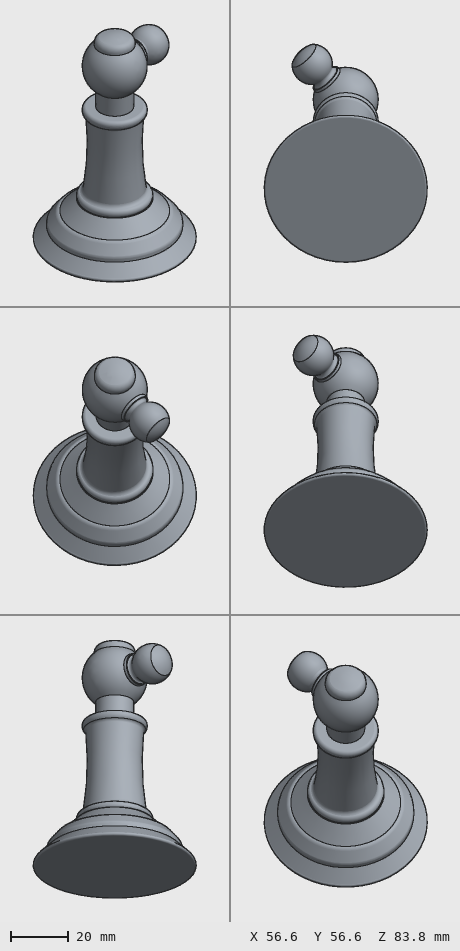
import cadquery as cq
import math

rim_top = 1.3
band_bottom = 5.5
band_middle = 6.6
band_top = 7.6
shoulder_bottom = 10.9
shoulder_top = 11.65
collar_bottom = 17.0
collar_top = 19.7
collar_middle = (collar_bottom + collar_top) / 2
column_bottom = 21.0
column_top = 50.5
column_middle = (column_bottom + column_top) / 2
lip_bottom = 51.6
lip_band_bottom = 52.95
lip_band_top = 53.2
lip_top = 54.6
ball_height = 71.1
knob_height = 71.3
cap_edge = 80.6
crown_edge = 82.9
total_height = 83.8

outer_diameter = 56.55
outer_radius = outer_diameter / 2
rim_rounding = 0.7
rim_top_radius = 27.9
band_radius = 23.6
band_top_radius = 23.3
shoulder_radius = 20.5
shoulder_top_radius = 19.0
base_top_radius = 13.3

collar_bottom_radius = 12.9
collar_radius = 13.2
collar_top_radius = 12.0
collar_cove_radius = 2.0
column_bottom_radius = 11.0
column_waist_radius = 9.6
column_top_radius = 10.05
lip_bottom_radius = 10.8
lip_radius = 11.3
lip_underside_rounding = 2.0
lip_top_radius = 10.0

neck_radius = 6.6
ball_radius = 11.3
cap_radius = 7.1
crown_radius = 5.45

flange_radius = 5.8
flange_face_radius = 5.6
flange_edge = 10.1
flange_end = 10.8
knob_cove_start_radius = 5.2
knob_neck_radius = 4.5
knob_neck = 12.15
knob_root = 12.8
knob_radius = 7.0
knob_centre = 17.85
knob_tip_edge = 22.3
knob_tip = 23.9


def start(height):
    """Begin an (r, z) profile on the Z axis."""
    return cq.Workplane("XZ").moveTo(0, height)


def turn(profile):
    """Close an (r, z) profile and revolve it about the Z axis."""
    return profile.close().revolve(360, (0, 0, 0), (0, 1, 0))


def arc_to(profile, radius, height):
    """Add an arc that leaves the last segment tangentially."""
    return profile.tangentArcPoint((radius, height), relative=False)


def dome_to_axis(profile, edge_radius, edge_height, tip_height):
    """Add a shallow spherical dome from its edge up to the Z axis."""
    rise = tip_height - edge_height
    dome_radius = (edge_radius**2 + rise**2) / (2 * rise)
    return profile.radiusArc((0, tip_height), -dome_radius)


def half_width(radius, offset):
    """Half width of a circle at an offset from its centre."""
    return math.sqrt(radius**2 - offset**2)


def make_base():
    """Flared foot: rounded rim, cone, band, cone, rounded shoulder, cone."""
    profile = (
        start(0)
        .lineTo(outer_radius - rim_rounding, 0)
        .threePointArc((outer_radius, rim_rounding), (rim_top_radius, rim_top))
        .lineTo(band_radius, band_bottom)
        .lineTo(band_radius, band_middle)
    )
    profile = arc_to(profile, band_top_radius, band_top)
    profile = profile.lineTo(shoulder_radius, shoulder_bottom)
    profile = arc_to(profile, shoulder_top_radius, shoulder_top)
    return turn(profile.lineTo(base_top_radius, collar_bottom).lineTo(0, collar_bottom))


def make_column():
    """Waisted column between a beaded collar and a lip, each joined by a cove."""
    profile = (
        start(collar_bottom)
        .lineTo(collar_bottom_radius, collar_bottom)
        .threePointArc((collar_radius, collar_middle), (collar_top_radius, collar_top))
        .radiusArc((column_bottom_radius, column_bottom), collar_cove_radius)
        .threePointArc((column_waist_radius, column_middle), (column_top_radius, column_top))
    )
    profile = arc_to(profile, lip_bottom_radius, lip_bottom)
    profile = profile.radiusArc((lip_radius, lip_band_bottom), -lip_underside_rounding)
    profile = profile.lineTo(lip_radius, lip_band_top)
    profile = arc_to(profile, lip_top_radius, lip_top)
    return turn(profile.lineTo(0, lip_top))


def make_neck():
    return turn(
        start(lip_top)
        .lineTo(neck_radius, lip_top)
        .lineTo(neck_radius, ball_height)
        .lineTo(0, ball_height)
    )


def make_ball():
    return cq.Workplane("XY").sphere(ball_radius).translate((0, 0, ball_height))


def make_cap():
    """Round-edged button with a domed crown on top of the ball."""
    profile = start(ball_height).lineTo(cap_radius, ball_height).lineTo(cap_radius, cap_edge)
    profile = arc_to(profile, crown_radius, crown_edge)
    return turn(dome_to_axis(profile, crown_radius, crown_edge, total_height))


def make_knob():
    """Flange, grooved neck and dome-ended ball, turned about Z and laid along +Y."""
    root_radius = half_width(knob_radius, knob_centre - knob_root)
    tip_edge_radius = half_width(knob_radius, knob_tip_edge - knob_centre)
    profile = start(0).lineTo(flange_radius, 0).lineTo(flange_radius, flange_edge)
    profile = arc_to(profile, flange_face_radius, flange_end)
    profile = (
        profile.lineTo(knob_cove_start_radius, flange_end)
        .threePointArc((knob_neck_radius, knob_neck), (root_radius, knob_root))
        .threePointArc((knob_radius, knob_centre), (tip_edge_radius, knob_tip_edge))
    )
    knob = turn(dome_to_axis(profile, tip_edge_radius, knob_tip_edge, knob_tip))
    return knob.rotate((0, 0, 0), (1, 0, 0), -90).translate((0, 0, knob_height))


result = (
    make_base()
    .union(make_column())
    .union(make_neck())
    .union(make_ball())
    .union(make_cap())
    .union(make_knob())
)